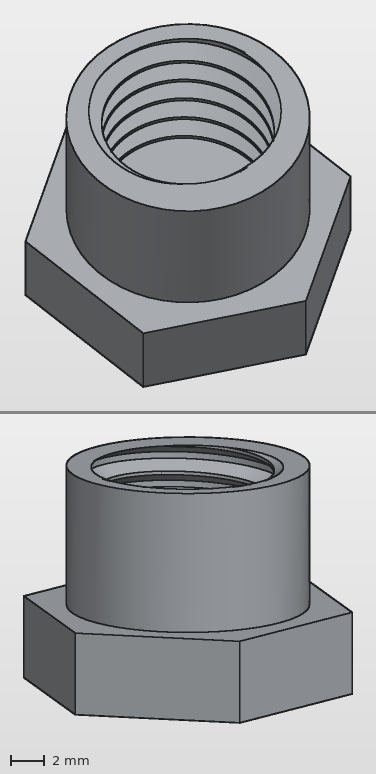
import cadquery as cq
import math

head_across_corners = 20.0
head_height = 5.0

boss_diameter = 14.5
total_height = 13.5
boss_height = total_height - head_height

bore_diameter = 10.27
thread_root_diameter = 12.23
hole_depth = boss_height
thread_pitch = 1.75
thread_crest_width = thread_pitch / 8
flank_angle = 30.0
groove_angle_at_top = 157.0
groove_overlap = 0.1

hole_floor = total_height - hole_depth


def make_blank():
    """Hexagonal head with corners on the X axis, and the round boss above it."""
    head = cq.Workplane("XY").polygon(6, head_across_corners).extrude(head_height)
    boss = cq.Workplane("XY").workplane(offset=head_height).circle(boss_diameter / 2).extrude(boss_height)
    return head.union(boss)


def hole_cylinder(diameter):
    """Solid cylinder from the hole floor to the top face."""
    return cq.Workplane("XY").workplane(offset=hole_floor).circle(diameter / 2).extrude(hole_depth)


def make_thread_groove():
    """Right-handed trapezoidal groove, running past both ends of the hole."""
    root_radius = thread_root_diameter / 2
    inner_radius = bore_diameter / 2 - groove_overlap
    flank_slope = math.tan(math.radians(flank_angle))
    thread_depth = (thread_root_diameter - bore_diameter) / 2
    root_half_width = (thread_pitch - thread_crest_width) / 2 - thread_depth * flank_slope
    inner_half_width = root_half_width + (root_radius - inner_radius) * flank_slope

    turns_below_top = math.ceil(hole_depth / thread_pitch) + 1
    helix_height = (turns_below_top + 1) * thread_pitch
    helix = cq.Wire.makeHelix(thread_pitch, helix_height, root_radius)
    profile = cq.Workplane("XZ").polyline(
        [
            (inner_radius, -inner_half_width),
            (root_radius, -root_half_width),
            (root_radius, root_half_width),
            (inner_radius, inner_half_width),
        ]
    ).close()
    groove = profile.sweep(cq.Workplane(obj=helix), isFrenet=True)
    start_height = total_height - turns_below_top * thread_pitch
    return groove.rotate((0, 0, 0), (0, 0, 1), groove_angle_at_top).translate((0, 0, start_height))


bore = hole_cylinder(bore_diameter)
thread_groove = make_thread_groove().intersect(hole_cylinder(boss_diameter))
result = make_blank().cut(bore).cut(thread_groove)